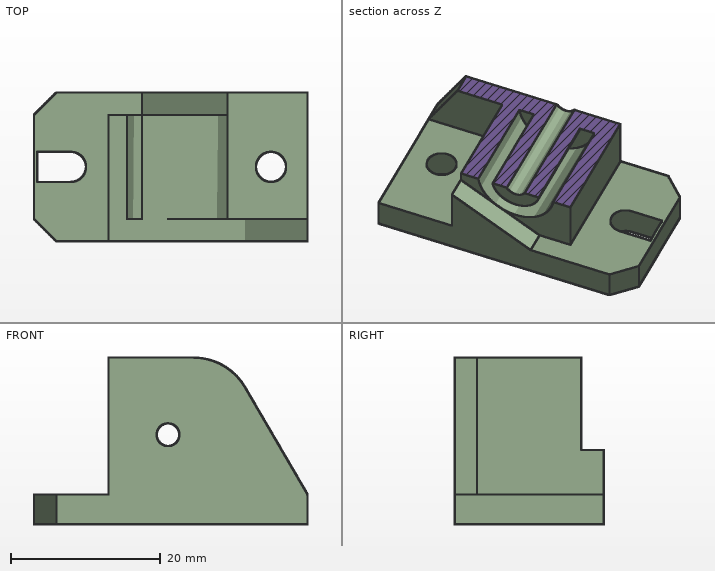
import cadquery as cq
import math

length = 36.75
width = 20.0
height = 22.38
base_height = 4.0
corner_chamfer = 3.0

side_plate_thickness = 3.0
block_left = 10.0
block_right = 26.02
block_back = width - 3.0
crest_radius = 8.0
plate_crest_x = 21.43

hub_x = 18.0
hub_z = 12.0
hub_diameter = 7.0
pin_hole_diameter = 3.0
cavity_radius = 5.5

ramp_top = 10.0

mount_diameter = 4.0
mount_hole_x = 31.83
mount_slot_start = 0.48
mount_slot_end = 7.0

crest_z = height - crest_radius
entry_left = hub_x - cavity_radius
entry_right = hub_x - hub_diameter / 2


def extrude_along_y(profile, y_start, y_end):
    """Extrude a closed XZ profile from y_start to y_end."""
    return profile.extrude(-(y_end - y_start)).translate((0, y_start, 0))


def on_circle(center_x, center_z, radius, angle):
    return (center_x + radius * math.cos(angle), center_z + radius * math.sin(angle))


def make_base():
    plate = cq.Workplane("XY").box(length, width, base_height, centered=False)
    return plate.edges("|Z and <X").chamfer(corner_chamfer)


def make_side_plate():
    run = length - plate_crest_x
    drop = base_height - crest_z
    tangent_angle = math.atan2(drop, run) + math.acos(crest_radius / math.hypot(run, drop))
    arc_middle = on_circle(plate_crest_x, crest_z, crest_radius, (math.pi / 2 + tangent_angle) / 2)
    arc_end = on_circle(plate_crest_x, crest_z, crest_radius, tangent_angle)
    profile = (
        cq.Workplane("XZ")
        .moveTo(block_left, 0)
        .lineTo(block_left, height)
        .lineTo(plate_crest_x, height)
        .threePointArc(arc_middle, arc_end)
        .lineTo(length, base_height)
        .lineTo(length, 0)
        .close()
    )
    return extrude_along_y(profile, 0, side_plate_thickness)


def make_block():
    crest_x = block_right - crest_radius
    profile = (
        cq.Workplane("XZ")
        .moveTo(block_left, 0)
        .lineTo(block_left, height)
        .lineTo(crest_x, height)
        .threePointArc(on_circle(crest_x, crest_z, crest_radius, math.pi / 4), (block_right, crest_z))
        .lineTo(block_right, 0)
        .close()
    )
    return extrude_along_y(profile, side_plate_thickness, block_back)


def make_ramp():
    profile = cq.Workplane("XZ").polyline([
        (entry_right, 0),
        (entry_right, base_height),
        (block_right, ramp_top),
        (block_right, 0),
    ]).close()
    return extrude_along_y(profile, block_back, width)


def make_cavity():
    ring = cq.Workplane("XZ").center(hub_x, hub_z).circle(cavity_radius).circle(hub_diameter / 2)
    ring = extrude_along_y(ring, side_plate_thickness, block_back)

    rise = height - hub_z
    half_gap = hub_x - entry_right
    lip_radius = (rise**2 + half_gap**2 - cavity_radius**2) / (2 * (cavity_radius + half_gap))
    lip_x = entry_right + lip_radius
    touch_angle = math.atan2(-rise, hub_x - lip_x) % (2 * math.pi)
    lip_middle = on_circle(lip_x, height, lip_radius, (math.pi + touch_angle) / 2)
    lip_end = on_circle(lip_x, height, lip_radius, touch_angle)
    entry = (
        cq.Workplane("XZ")
        .moveTo(entry_left, hub_z)
        .lineTo(entry_left, height)
        .lineTo(entry_right, height)
        .threePointArc(lip_middle, lip_end)
        .lineTo(hub_x, hub_z)
        .close()
    )
    entry = extrude_along_y(entry, side_plate_thickness, block_back)
    hub = cq.Workplane("XZ").center(hub_x, hub_z).circle(hub_diameter / 2)
    return ring.union(entry.cut(extrude_along_y(hub, 0, width)))


def make_pin_hole():
    profile = cq.Workplane("XZ").center(hub_x, hub_z).circle(pin_hole_diameter / 2)
    return extrude_along_y(profile, 0, width)


def make_mount_holes():
    middle_y = width / 2
    radius = mount_diameter / 2
    round_center = mount_slot_end - radius
    hole = cq.Workplane("XY").center(mount_hole_x, middle_y).circle(radius).extrude(base_height)
    slot = (
        cq.Workplane("XY")
        .moveTo(mount_slot_start, middle_y - radius)
        .lineTo(round_center, middle_y - radius)
        .threePointArc((mount_slot_end, middle_y), (round_center, middle_y + radius))
        .lineTo(mount_slot_start, middle_y + radius)
        .close()
        .extrude(base_height)
    )
    return hole.union(slot)


body = make_base().union(make_side_plate()).union(make_block()).union(make_ramp())
result = body.cut(make_cavity()).cut(make_pin_hole()).cut(make_mount_holes())